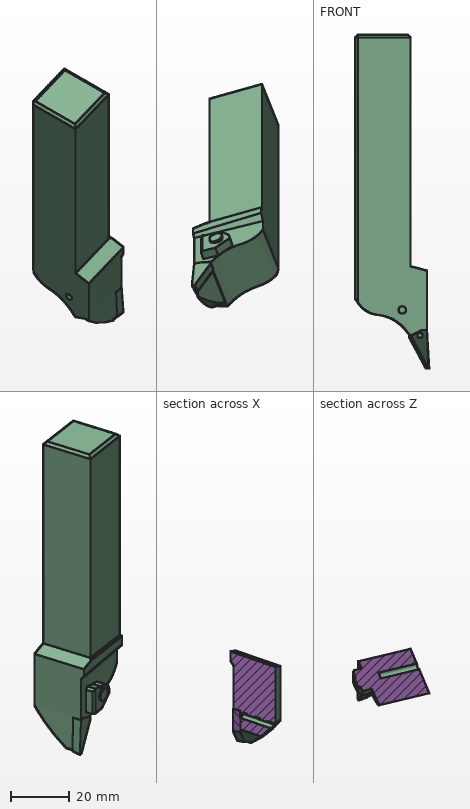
import cadquery as cq
import math

shank_x = 19.0
shank_y = 19.1
total_length = 114.3
edge_chamfer = 1.0

head_x = 24.6
head_y = 20.0
shoulder_z = 35.1
shoulder_slope = math.tan(math.radians(15))
heel_z = 23.9
belly_start = (1.4, 22.0)
belly_middle = (4.1, 19.5)
belly_inflection = (8.5, 18.3)
throat_middle = (12.9, 16.8)
throat_end = (16.7, 13.8)
seat_left = (18.9, 11.2)
seat_right = (22.9, 13.3)

seat_low_y = 18.0
seat_high_y = 18.9
seat_angle = math.degrees(math.atan2(seat_high_y - seat_low_y, head_x))
seat_wall_z = 29.4
seat_clearance = 4.6

clamp_thickness = 3.3
clamp_round_start = (10.9, 18.5)
clamp_round_middle = (12.2, 22.0)
clamp_round_end = (16.5, 23.4)
clamp_peak = (20.3, 24.5)
clamp_right_x = 21.3
clamp_corner_z = 23.5
clamp_bottom_left = (16.0, 14.7)
clamp_chamfer = 0.7
screw_x = 15.5
screw_z = 20.1
screw_radius = 2.3
screw_top_y = 22.5

key_hole_x = 16.1
key_hole_radius = 1.3
key_hole_depth = 13.7
pin_hole_x = 22.2
pin_hole_z = 11.4
pin_hole_radius = 0.9

insert_heel = (18.4, 10.9)
insert_heel_top = (18.7, 11.8)
insert_top_y = seat_high_y
insert_bottom_y = 15.7
bevel_y = 14.5
tip_left_x = 24.2
tip_right_x = 25.4
insert_relief = 0.3
blade_inset = 0.5
blade_side_x = 25.0
blade_tip_z = 0.7
blade_tip_y = 13.3
blade_arc_middle = (7.1, 5.5)


def xz_plane(y):
    """Workplane with local axes +X and +Z at depth y; extruding goes towards +Y."""
    return cq.Workplane(cq.Plane(origin=(0, y, 0), xDir=(1, 0, 0), normal=(0, -1, 0)))


def on_seat(body):
    """Turn a body built on the plane y = 0 onto the tilted clamp seat."""
    return body.rotate((0, 0, 0), (0, 0, 1), seat_angle).translate((0, seat_low_y, 0))


def loft_xz(lower_points, lower_y, upper_points, upper_y):
    """Ruled solid between two XZ outlines with matching corners."""
    wires = [
        cq.Wire.makePolygon([cq.Vector(x, y, z) for x, z in points], close=True)
        for points, y in ((lower_points, lower_y), (upper_points, upper_y))
    ]
    return cq.Workplane(obj=cq.Solid.makeLoft(wires, True))


def make_shank():
    shank = cq.Workplane().box(shank_x, shank_y, total_length - heel_z, centered=False)
    shank = shank.translate((0, 0, heel_z))
    shank = shank.faces(">Z").edges().chamfer(edge_chamfer)
    return shank


def make_head():
    side = (
        xz_plane(0)
        .moveTo(0, heel_z)
        .lineTo(*belly_start)
        .threePointArc(belly_middle, belly_inflection)
        .threePointArc(throat_middle, throat_end)
        .lineTo(*seat_left)
        .lineTo(*seat_right)
        .lineTo(head_x, seat_right[1])
        .lineTo(head_x, shoulder_z - (head_x - shank_x) * shoulder_slope)
        .lineTo(shank_x, shoulder_z)
        .lineTo(0, shoulder_z)
        .close()
        .extrude(-head_y)
    )
    back_z = shoulder_z - (head_y - shank_y) * shoulder_slope
    envelope = (
        cq.Workplane("YZ")
        .polyline([(0, 0), (head_y, 0), (head_y, back_z), (shank_y, shoulder_z), (0, shoulder_z)])
        .close()
        .extrude(head_x)
    )
    return side.intersect(envelope)


def corner_chamfer():
    """Prism that bevels the long edge at X = 0, Y = 0."""
    return (
        cq.Workplane()
        .polyline([(0, 0), (edge_chamfer, 0), (0, edge_chamfer)])
        .close()
        .extrude(total_length)
    )


def clamp_recess():
    """Space above the clamp seat, with a 45 degree wall at its top end."""
    profile = [
        (0, 0),
        (0, seat_wall_z),
        (seat_clearance, seat_wall_z + seat_clearance),
        (seat_clearance, 0),
    ]
    recess = cq.Workplane("YZ").polyline(profile).close().extrude(2 * head_x, both=True)
    return on_seat(recess)


def make_clamp():
    plate = (
        xz_plane(0)
        .moveTo(*clamp_round_start)
        .threePointArc(clamp_round_middle, clamp_round_end)
        .lineTo(*clamp_peak)
        .lineTo(clamp_right_x, clamp_corner_z)
        .lineTo(clamp_right_x, clamp_bottom_left[1])
        .lineTo(*clamp_bottom_left)
        .close()
        .extrude(-clamp_thickness)
    )
    plate = plate.faces(">X").edges(">Y").chamfer(clamp_chamfer)
    screw = xz_plane(seat_high_y).center(screw_x, screw_z).circle(screw_radius)
    return on_seat(plate).union(screw.extrude(seat_high_y - screw_top_y))


def insert_outline(relief):
    """Outline of the insert, its free edges pulled in by the relief."""
    return [
        insert_heel_top,
        (insert_heel[0] + relief / 2, insert_heel[1]),
        (tip_left_x + relief / 2, relief),
        (tip_right_x - relief, relief),
        (head_x, seat_right[1]),
        seat_right,
    ]


def make_insert():
    return loft_xz(insert_outline(insert_relief), insert_bottom_y, insert_outline(0), insert_top_y)


def make_blade():
    """Tapering support under the insert, its front rounded away towards the tip."""

    def outline(inset):
        return [
            (seat_left[0] + inset / 2, seat_left[1]),
            (tip_left_x + inset, blade_tip_z),
            (blade_side_x, blade_tip_z),
            (head_x, seat_right[1]),
            seat_right,
        ]

    bevel = loft_xz(outline(blade_inset), bevel_y, outline(0), insert_bottom_y)
    body = xz_plane(0).polyline(outline(blade_inset)).close().extrude(-bevel_y)
    front_curve = (
        cq.Workplane("YZ")
        .moveTo(0, seat_right[1])
        .threePointArc(blade_arc_middle, (blade_tip_y, blade_tip_z))
        .lineTo(insert_bottom_y, blade_tip_z)
        .lineTo(insert_bottom_y, seat_right[1])
        .close()
        .extrude(2 * head_x)
    )
    return body.union(bevel).intersect(front_curve)


def key_hole():
    return xz_plane(0).center(key_hole_x, screw_z).circle(key_hole_radius).extrude(-key_hole_depth)


def pin_hole():
    """Hole through the blade, ending under the insert."""
    return xz_plane(0).center(pin_hole_x, pin_hole_z).circle(pin_hole_radius).extrude(-insert_bottom_y)


insert = make_insert()
holder = make_shank().union(make_head()).cut(corner_chamfer()).cut(clamp_recess())
holder = holder.union(make_blade()).union(make_clamp())
holder = holder.cut(key_hole()).cut(pin_hole()).cut(insert)

result = cq.Compound.makeCompound([holder.val(), insert.val()])